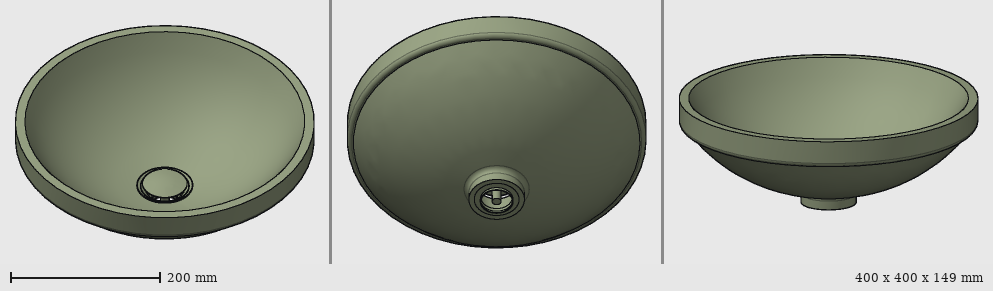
import cadquery as cq
import math


rim_radius = 200.0
rim_inner_radius = 187.0
rim_height = 36.5
rim_edge_radius = 6.0
bowl_inner_bottom = -114.5
bowl_outer_radius = 229.0
bowl_outer_offset = 8.5
bowl_outer_bottom = -128.0
neck_radius = 37.0
neck_bottom = -145.0
neck_fillet_radius = 7.5

flange_radius = 37.5
flange_thickness = 10.0
dish_rise = 1.0
land_width = 1.0
dish_slope = 30.0
seat_radius = 32.0
seat_slope = 38.0
cup_radius = 60.0 / 2
cup_bore_radius = 52.0 / 2
cup_floor_thickness = 4.0
tail_radius = 44.0 / 2
tail_bore_radius = 42.0 / 2
tail_bottom = -149.0

plug_radius = 60.0 / 2
plug_apex = -102.5
dome_height = 5.0
plug_edge_height = 1.0
stem_radius = 6.0


def fall(run, slope):
    """Drop of a cone over a radial run, for a slope in degrees."""
    return run * math.tan(math.radians(slope))


def inner_height(radius):
    """Height of the inner bowl surface at a distance from the axis."""
    return bowl_inner_center - math.sqrt(bowl_inner_radius**2 - radius**2)


def outer_height(radius, arc_radius=bowl_outer_radius):
    """Height, at a distance from the axis, of the outer bowl arc or of an arc concentric with it."""
    return bowl_outer_center - math.sqrt(arc_radius**2 - (radius - bowl_outer_offset) ** 2)


def outer_reach(height):
    """Distance of the outer bowl arc from the axis at a height."""
    return bowl_outer_offset + math.sqrt(bowl_outer_radius**2 - (height - bowl_outer_center) ** 2)


bowl_inner_radius = (rim_inner_radius**2 + bowl_inner_bottom**2) / (2 * -bowl_inner_bottom)
bowl_inner_center = bowl_inner_bottom + bowl_inner_radius

bowl_outer_center = bowl_outer_bottom + bowl_outer_radius

flange_top = inner_height(flange_radius)
dish_top = flange_top + dish_rise
flange_bottom = flange_top - flange_thickness
dish_outer_radius = flange_radius - land_width
dish_inner_radius = seat_radius + land_width
seat_top = dish_top - fall(dish_outer_radius - dish_inner_radius, dish_slope)
seat_bottom = seat_top - fall(seat_radius - cup_bore_radius, seat_slope)
cup_floor = neck_bottom + cup_floor_thickness


def turn(profile):
    """Turn a closed profile, drawn as (radius, height), about the Z axis."""
    return profile.close().revolve(360, (0, 0, 0), (0, 1, 0))


def make_basin():
    """Bowl with an upright rim and a bottom neck, recessed for the drain."""
    fillet_center_radius = neck_radius + neck_fillet_radius
    center_distance = bowl_outer_radius + neck_fillet_radius
    fillet_center_height = outer_height(fillet_center_radius, center_distance)
    center_offset = fillet_center_radius - bowl_outer_offset
    fillet_end_radius = bowl_outer_offset + center_offset * bowl_outer_radius / center_distance

    rim_foot_radius = outer_reach(-rim_height)
    outer_mid_radius = (fillet_end_radius + rim_foot_radius) / 2
    inner_mid_radius = (flange_radius + rim_inner_radius) / 2

    profile = (
        cq.Workplane("XZ")
        .moveTo(rim_inner_radius, 0)
        .lineTo(rim_radius, 0)
        .lineTo(rim_radius, rim_edge_radius - rim_height)
        .radiusArc((rim_radius - rim_edge_radius, -rim_height), rim_edge_radius)
        .lineTo(rim_foot_radius, -rim_height)
        .threePointArc(
            (outer_mid_radius, outer_height(outer_mid_radius)),
            (fillet_end_radius, outer_height(fillet_end_radius)),
        )
        .radiusArc((neck_radius, fillet_center_height), -neck_fillet_radius)
        .lineTo(neck_radius, neck_bottom)
        .lineTo(cup_radius, neck_bottom)
        .lineTo(cup_radius, flange_bottom)
        .lineTo(flange_radius, flange_bottom)
        .lineTo(flange_radius, flange_top)
        .threePointArc(
            (inner_mid_radius, inner_height(inner_mid_radius)),
            (rim_inner_radius, 0),
        )
    )
    return turn(profile)


def make_drain():
    """Flanged cup with a dished top, a conical seat and a thin outlet tail."""
    profile = (
        cq.Workplane("XZ")
        .moveTo(flange_radius, flange_top)
        .lineTo(dish_outer_radius, flange_top)
        .lineTo(dish_outer_radius, dish_top)
        .lineTo(dish_inner_radius, seat_top)
        .lineTo(seat_radius, seat_top)
        .lineTo(cup_bore_radius, seat_bottom)
        .lineTo(cup_bore_radius, cup_floor)
        .lineTo(tail_bore_radius, cup_floor)
        .lineTo(tail_bore_radius, tail_bottom)
        .lineTo(tail_radius, tail_bottom)
        .lineTo(tail_radius, neck_bottom)
        .lineTo(cup_radius, neck_bottom)
        .lineTo(cup_radius, flange_bottom)
        .lineTo(flange_radius, flange_bottom)
    )
    return turn(profile)


def make_plug():
    """Thin domed cap, raised above the seat, on a stem that reaches down the drain."""
    dome_radius = (plug_radius**2 + dome_height**2) / (2 * dome_height)
    dome_foot = plug_apex - dome_height
    cap_bottom = dome_foot - plug_edge_height
    profile = (
        cq.Workplane("XZ")
        .moveTo(0, tail_bottom)
        .lineTo(stem_radius, tail_bottom)
        .lineTo(stem_radius, cap_bottom)
        .lineTo(plug_radius, cap_bottom)
        .lineTo(plug_radius, dome_foot)
        .radiusArc((0, plug_apex), -dome_radius)
    )
    return turn(profile)


basin = make_basin()
drain = make_drain()
plug = make_plug()

result = cq.Compound.makeCompound([basin.val(), drain.val(), plug.val()])